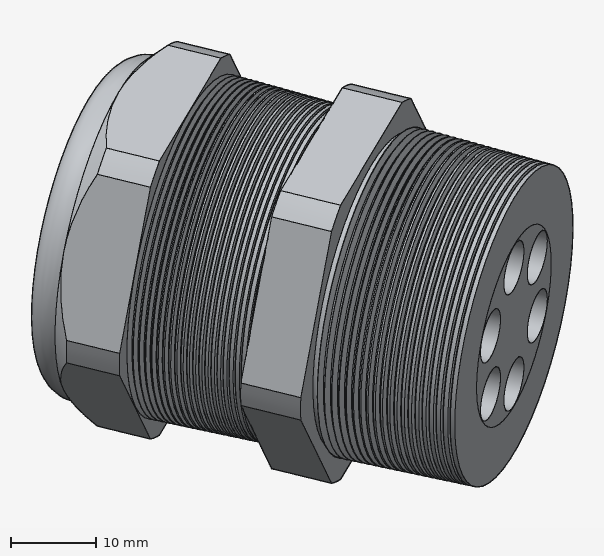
import cadquery as cq
import math


total_length = 53.85
cap_length = 13.15
neck_length = 15.25
collar_width = 7.55
neck_start = cap_length
collar_start = neck_start + neck_length
tail_start = collar_start + collar_width

across_flats = 41.9
across_rounded_corners = 46.5
flat_radius = across_flats / 2
corner_radius = across_rounded_corners / 2

dome_fillet = 3.75
dome_land = 0.4
cap_chamfer = corner_radius - flat_radius
chamfer_start = dome_fillet + dome_land

thread_taper = 1 / 32
thread_half_angle = math.radians(30)

neck_crest_radius = 20.85
neck_root_radius = 20.2
neck_groove_count = 20
neck_pitch = neck_length / neck_groove_count

tail_crest_radius = 20.05
tail_root_radius = 19.2
tail_groove_count = 19
tail_thread_length = 16.8
tail_pitch = tail_thread_length / tail_groove_count
tail_relief_land = 0.1
tail_relief_radius = 0.7
tail_first_crest_width = 0.05
tail_first_groove = tail_relief_land + tail_relief_radius + tail_first_crest_width + tail_pitch / 2

mouth_radius = 12.45
mouth_depth = 0.45
bore_radius = 12.3
cable_hole_count = 6
cable_hole_radius = 3.3
cable_hole_circle_radius = 8.9


def thread_points(start, crest_radius, root_radius, first_groove, pitch, groove_count):
    """Outline points (x, radius) of a row of V grooves cut into a tapering surface."""
    spread = math.tan(thread_half_angle)
    points = []
    for index in range(groove_count):
        distance = first_groove + index * pitch
        groove_depth = crest_radius - thread_taper * distance - root_radius
        for side in (-1, 1):
            half_width = groove_depth * spread / (1 + side * thread_taper * spread)
            points.append((distance + side * half_width, root_radius + half_width / spread))
        points.insert(-1, (distance, root_radius))
    return [(start + distance, radius) for distance, radius in points]


def revolve_about_x(outline):
    return outline.close().revolve(360, (0, 0, 0), (1, 0, 0))


def hexagon_bar(start, length):
    """Hexagon bar with flats facing +Z and -Z."""
    return (
        cq.Workplane("YZ")
        .workplane(offset=start)
        .polygon(6, across_flats / math.cos(math.pi / 6))
        .extrude(length)
    )


def make_cap_dome():
    dome_face_radius = flat_radius - dome_fillet
    arc_offset = dome_fillet * math.sin(math.pi / 4)
    outline = (
        cq.Workplane("XZ")
        .lineTo(0, dome_face_radius)
        .threePointArc((dome_fillet - arc_offset, dome_face_radius + arc_offset), (dome_fillet, flat_radius))
        .lineTo(chamfer_start, flat_radius)
        .lineTo(chamfer_start, 0)
    )
    return revolve_about_x(outline)


def make_cap_hexagon():
    corner_turning = (
        cq.Workplane("XZ")
        .moveTo(chamfer_start, 0)
        .lineTo(chamfer_start, flat_radius)
        .lineTo(chamfer_start + cap_chamfer, corner_radius)
        .lineTo(cap_length, corner_radius)
        .lineTo(cap_length, 0)
    )
    return hexagon_bar(chamfer_start, cap_length - chamfer_start).intersect(revolve_about_x(corner_turning))


def make_collar():
    corner_turning = cq.Workplane("YZ").workplane(offset=collar_start).circle(corner_radius).extrude(collar_width)
    return hexagon_bar(collar_start, collar_width).intersect(corner_turning)


def make_neck():
    grooves = thread_points(
        neck_start, neck_crest_radius, neck_root_radius, neck_pitch / 2, neck_pitch, neck_groove_count
    )
    outline = (
        cq.Workplane("XZ")
        .moveTo(neck_start, 0)
        .lineTo(neck_start, neck_crest_radius)
        .polyline(grooves, includeCurrent=True)
        .lineTo(collar_start, neck_crest_radius - thread_taper * neck_length)
        .lineTo(collar_start, 0)
    )
    return revolve_about_x(outline)


def make_tail():
    grooves = thread_points(
        tail_start, tail_crest_radius, tail_root_radius, tail_first_groove, tail_pitch, tail_groove_count
    )
    tail_end_radius = tail_crest_radius - thread_taper * (total_length - tail_start)
    relief_start = tail_start + tail_relief_land
    relief_crest_radius = tail_root_radius + tail_relief_radius
    arc_offset = tail_relief_radius * math.sin(math.pi / 4)
    outline = (
        cq.Workplane("XZ")
        .moveTo(tail_start, 0)
        .lineTo(tail_start, tail_root_radius)
        .lineTo(relief_start, tail_root_radius)
        .threePointArc(
            (relief_start + arc_offset, relief_crest_radius - arc_offset),
            (relief_start + tail_relief_radius, relief_crest_radius),
        )
        .polyline(grooves, includeCurrent=True)
        .lineTo(total_length, tail_end_radius)
        .lineTo(total_length, 0)
    )
    return revolve_about_x(outline)


def make_housing():
    body = make_cap_dome().union(make_cap_hexagon()).union(make_neck()).union(make_collar()).union(make_tail())
    bore = cq.Workplane("YZ").circle(bore_radius).extrude(total_length)
    mouth = cq.Workplane("YZ").circle(mouth_radius).extrude(mouth_depth)
    return body.cut(bore).cut(mouth).solids()


def make_insert():
    """Plug filling the bore behind the mouth, with a ring of cable holes through its whole length."""
    plug = cq.Workplane("YZ").workplane(offset=mouth_depth).circle(bore_radius)
    plug = plug.extrude(total_length - mouth_depth)
    cable_holes = (
        cq.Workplane("YZ")
        .polarArray(cable_hole_circle_radius, 90, 360, cable_hole_count)
        .circle(cable_hole_radius)
        .extrude(total_length)
    )
    return plug.cut(cable_holes).solids()


housing = make_housing()
insert = make_insert()

result = cq.Compound.makeCompound([housing.val(), insert.val()])